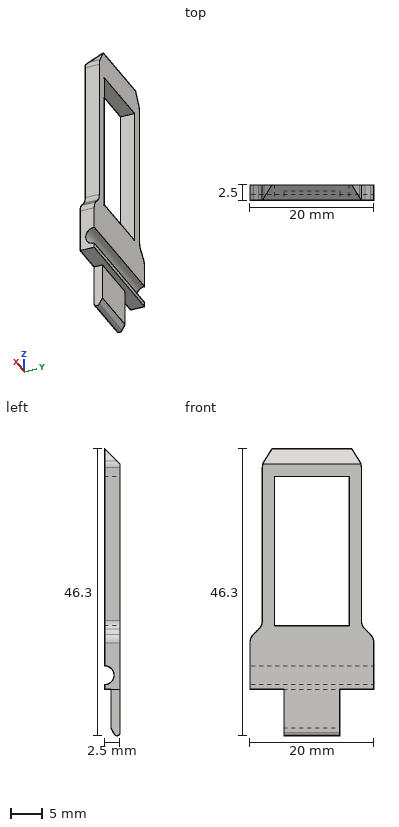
import cadquery as cq
import math

thickness = 2.5
body_width = 20.0
neck_width = 16.0
corner_radius = 2.0

tongue_width = 9.0
tongue_length = 7.47
tongue_thickness = 1.5
tip_slant_angle = 60.0
tip_radius = 0.5

overall_length = 46.27
top_z = overall_length - tongue_length
bevel_height = thickness
bevel_z = top_z - bevel_height
top_corner_inset = 1.58

rail_width = 2.0
window_width = neck_width - 2 * rail_width
window_height = 24.0
window_top_z = bevel_z - rail_width
window_bottom_z = window_top_z - window_height

flare_top_z = window_bottom_z
flare_bottom_z = flare_top_z - (body_width - neck_width) / 2

groove_radius = 1.5
groove_z = 2.3


def make_plate():
    """Body and neck, with rounded flare and top corners."""
    body_half = body_width / 2
    neck_half = neck_width / 2
    top_half = neck_half - top_corner_inset
    right_side = [
        (body_half, 0),
        (body_half, flare_bottom_z),
        (neck_half, flare_top_z),
        (neck_half, bevel_z),
        (top_half, top_z),
    ]
    left_side = [(-x, z) for x, z in reversed(right_side)]
    plate = cq.Workplane("XZ").polyline(right_side + left_side).close().extrude(-thickness)

    rounded_corners = [(x, z) for x, z in right_side + left_side if flare_bottom_z <= z <= bevel_z]
    for x, z in rounded_corners:
        corner_edge = cq.selectors.NearestToPointSelector((x, thickness / 2, z))
        plate = plate.edges("|Y").edges(corner_edge).fillet(corner_radius)
    return plate


def make_bevel_cutter():
    """Wedge in front of the bevelled top edge."""
    return (
        cq.Workplane("YZ")
        .polyline([(0, bevel_z), (thickness, top_z), (0, top_z)])
        .close()
        .extrude(body_width / 2, both=True)
    )


def make_window_cutter():
    """Rectangular opening through the neck."""
    return (
        cq.Workplane("XZ")
        .center(0, (window_top_z + window_bottom_z) / 2)
        .rect(window_width, window_height)
        .extrude(-thickness)
    )


def make_groove_cutter():
    """Cylinder along X, centred on the back face."""
    return (
        cq.Workplane("YZ")
        .center(thickness, groove_z)
        .circle(groove_radius)
        .extrude(body_width / 2, both=True)
    )


def make_tongue():
    """Thin tongue flush with the front face, slanted at the back and rounded at the tip."""
    angle = math.radians(tip_slant_angle)
    round_y = tip_radius
    round_z = tip_radius - tongue_length
    slant_end = (round_y + tip_radius * math.sin(angle), round_z - tip_radius * math.cos(angle))
    slant_height = (tongue_thickness - slant_end[0]) * math.tan(angle)
    return (
        cq.Workplane("YZ")
        .moveTo(0, round_z)
        .threePointArc((round_y, -tongue_length), slant_end)
        .lineTo(tongue_thickness, slant_end[1] + slant_height)
        .lineTo(tongue_thickness, 0)
        .lineTo(0, 0)
        .close()
        .extrude(tongue_width / 2, both=True)
    )


result = (
    make_plate()
    .cut(make_bevel_cutter())
    .cut(make_window_cutter())
    .cut(make_groove_cutter())
    .union(make_tongue())
)